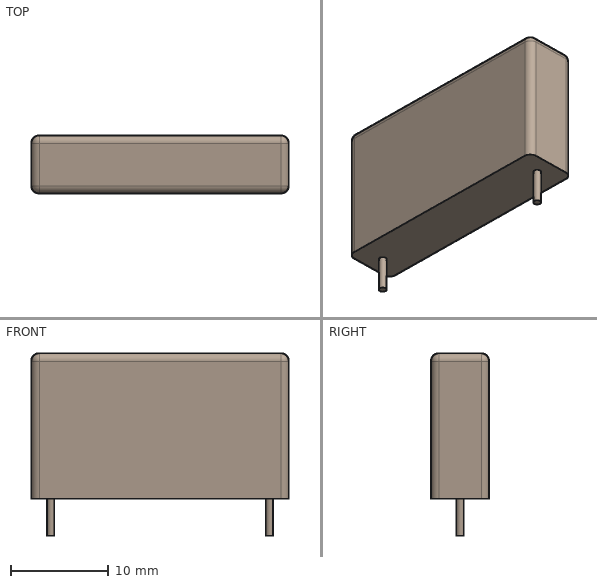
import cadquery as cq

housing_length = 26.5
housing_width = 6.0
housing_height = 15.0
edge_radius = 0.82

pin_diameter = 0.8
pin_length = 3.8
pin_spacing = 22.5


def make_housing():
    """Box standing on Z = 0 with every edge rounded except those underneath."""
    return (
        cq.Workplane("XY")
        .box(housing_length, housing_width, housing_height, centered=(True, True, False))
        .edges("|Z or >Z")
        .fillet(edge_radius)
    )


def make_pin(x):
    """Round lead hanging down from the underside at the given X, central in Y."""
    return cq.Workplane("XY").center(x, 0).circle(pin_diameter / 2).extrude(-pin_length)


housing = make_housing()
pins = [make_pin(side * pin_spacing / 2) for side in (-1, 1)]

result = cq.Compound.makeCompound([housing.val(), *[pin.val() for pin in pins]])